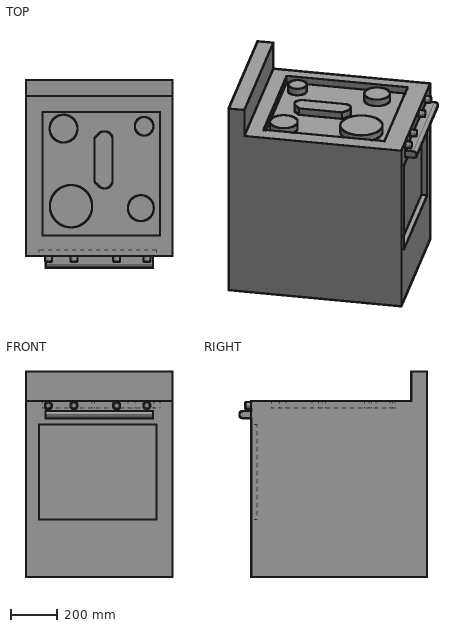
import cadquery as cq
import math


width = 635.0
depth = 762.0
total_height = 889.0
backsplash_height = 127.0
backsplash_thickness = 69.85
cabinet_height = total_height - backsplash_height

cooktop_width = 508.0
cooktop_length = 533.4
cooktop_left = 72.5
cooktop_front = 88.9
cooktop_recess = 31.75
cooktop_floor = cabinet_height - cooktop_recess

burner_height = 31.75
burners = [
    (195.5, 215.5, 183.0),
    (163.0, 551.0, 120.27),
    (497.3, 207.0, 112.16),
    (511.5, 561.0, 80.53),
]

long_burner_left = 296.5
long_burner_right = 375.0
long_burner_front = 292.0
long_burner_back = 539.5
long_burner_nose_radius = 34.6

window_width = 508.0
window_height = 410.5
window_left = 57.2
window_bottom = 250.0
window_recess = 25.4

handle_width = 465.0
handle_left = 85.5
handle_bottom = 686.6
handle_height = 31.75
handle_reach = 50.8
handle_nose_radius = 15.24

knob_diameter = 30.48
knob_length = 25.4
knob_edge_radius = 7.0
knob_positions = [(97.5, 741.0), (208.0, 742.0), (393.0, 741.0), (523.0, 742.0)]


def make_box(corner, size):
    return cq.Workplane("XY").box(*size, centered=False).translate(corner)


def make_cabinet():
    cabinet = make_box((0, 0, 0), (width, depth, cabinet_height))
    backsplash = make_box(
        (0, depth - backsplash_thickness, 0),
        (width, backsplash_thickness, total_height),
    )
    return cabinet.union(backsplash)


def make_cooktop_recess():
    return make_box(
        (cooktop_left, cooktop_front, cooktop_floor),
        (cooktop_width, cooktop_length, cooktop_recess),
    )


def make_window_recess():
    return make_box(
        (window_left, 0, window_bottom),
        (window_width, window_recess, window_height),
    )


def make_burner(x, y, diameter):
    floor = cq.Workplane("XY", origin=(x, y, cooktop_floor))
    return floor.circle(diameter / 2).extrude(burner_height)


def make_long_burner():
    radius = long_burner_nose_radius
    diagonal = radius * math.sqrt(0.5)
    nose_x = long_burner_right - radius
    front_nose_y = long_burner_front + radius
    back_nose_y = long_burner_back - radius
    cut_end_x = nose_x - diagonal
    cut_size = cut_end_x - long_burner_left
    front_cut_y = front_nose_y - diagonal
    back_cut_y = back_nose_y + diagonal
    outline = (
        cq.Workplane("XY", origin=(0, 0, cooktop_floor))
        .moveTo(long_burner_left, front_cut_y + cut_size)
        .lineTo(cut_end_x, front_cut_y)
        .threePointArc((nose_x, long_burner_front), (long_burner_right, front_nose_y))
        .lineTo(long_burner_right, back_nose_y)
        .threePointArc((nose_x, long_burner_back), (cut_end_x, back_cut_y))
        .lineTo(long_burner_left, back_cut_y - cut_size)
        .close()
    )
    return outline.extrude(burner_height)


def make_handle():
    bar = make_box(
        (handle_left, -handle_reach, handle_bottom),
        (handle_width, handle_reach, handle_height),
    )
    return bar.faces("<Y").edges("|X").fillet(handle_nose_radius)


def make_knob(x, z):
    knob = cq.Workplane("XZ", origin=(x, 0, z)).circle(knob_diameter / 2).extrude(knob_length)
    return knob.faces("<Y").edges().fillet(knob_edge_radius)


result = make_cabinet().cut(make_cooktop_recess()).cut(make_window_recess())
for burner_x, burner_y, burner_diameter in burners:
    result = result.union(make_burner(burner_x, burner_y, burner_diameter))
result = result.union(make_long_burner()).union(make_handle())
for knob_x, knob_z in knob_positions:
    result = result.union(make_knob(knob_x, knob_z))